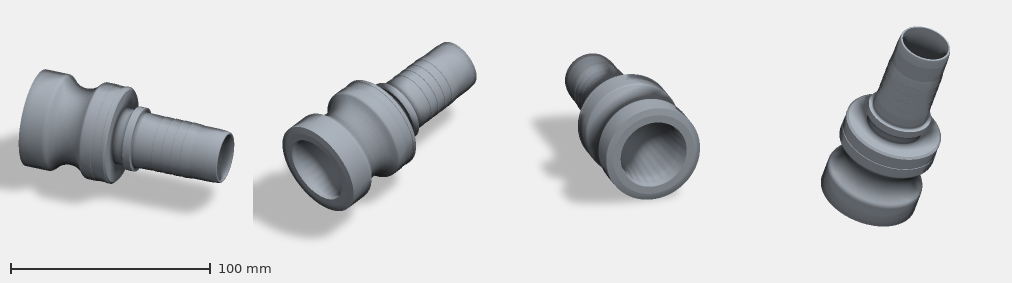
import cadquery as cq
import math

LENGTH = 102.0

HEAD_R = 49.5 / 2
FACE_R = 42.6 / 2
FACE_DEPTH = 0.8
GROOVE_X = 23.6
GROOVE_FLOOR_R = 19.6
GROOVE_ARC_R = 11.2
FRONT_LIP_R = 2.9
REAR_LIP_R = 1.8
BAND_R = 49.0 / 2
BAND_START = 39.1
BAND_END = 44.3
HEAD_END = 46.8
HEAD_CHAMFER = 1.0

NECK_R = 28.5 / 2
NECK_FILLET = 0.4
COLLAR_R = 32.5 / 2
COLLAR_START = 52.9
COLLAR_END = 56.8
COLLAR_FILLET = 0.6

BARB_R = 28.0 / 2
BARB_ROOT_R = 13.8
BARB_START = 62.9
BARB_PITCH = 5.0
BARB_COUNT = 4
TAIL_R = 27.0 / 2
TAIL_START = 88.0
TIP_START = 96.8
TIP_R = 13.0
TIP_ROUND = 0.5

MOUTH_R = 34.8 / 2
BORE_R = 24.0 / 2
CONE_DEPTH = HEAD_END


def falling_mid(start, end):
    """Middle of a convex arc that is parallel to the axis at start."""
    run = end[0] - start[0]
    drop = start[1] - end[1]
    radius = (run**2 + drop**2) / (2 * drop)
    half_angle = math.asin(run / radius) / 2
    return (
        start[0] + radius * math.sin(half_angle),
        start[1] - radius * (1 - math.cos(half_angle)),
    )


def add_falling_arc(profile, start, end):
    """Add the convex arc from start down to end."""
    return profile.threePointArc(falling_mid(start, end), end)


def fillet_mid(center, radius, x_side):
    """Middle of a concave quarter fillet facing the axis."""
    offset = radius * math.sqrt(0.5)
    return (center[0] + x_side * offset, center[1] - offset)


def add_fillet_down(profile, wall_x, floor_r, radius):
    """Round from the foot of a wall onto the cylinder that follows it."""
    center = (wall_x + radius, floor_r + radius)
    return profile.threePointArc(fillet_mid(center, radius, -1), (center[0], floor_r))


def add_fillet_up(profile, wall_x, floor_r, radius):
    """Round from the end of a cylinder up onto the wall that follows it."""
    center = (wall_x - radius, floor_r + radius)
    return profile.threePointArc(fillet_mid(center, radius, 1), (wall_x, center[1]))


def lip_points(lip_r, side):
    """Start, middle and end of a groove lip; side is -1 for front, 1 for rear."""
    arc_center_r = GROOVE_FLOOR_R + GROOVE_ARC_R
    center_drop = arc_center_r - (HEAD_R - lip_r)
    center_dist = GROOVE_ARC_R + lip_r
    center_run = math.sqrt(center_dist**2 - center_drop**2)
    lip_x = GROOVE_X + side * center_run
    angle = math.asin(center_run / center_dist)
    start = (lip_x, HEAD_R)

    def on_lip(turn):
        return (lip_x - side * lip_r * math.sin(turn), HEAD_R - lip_r * (1 - math.cos(turn)))

    return start, on_lip(angle / 2), on_lip(angle)


def add_groove(profile):
    """Add the cam groove with its two rounded lips."""
    front_start, front_mid, front_end = lip_points(FRONT_LIP_R, -1)
    rear_start, rear_mid, rear_end = lip_points(REAR_LIP_R, 1)
    profile = profile.lineTo(*front_start).threePointArc(front_mid, front_end)
    profile = profile.threePointArc((GROOVE_X, GROOVE_FLOOR_R), rear_end)
    return profile.threePointArc(rear_mid, rear_start)


def add_head(profile):
    profile = profile.lineTo(0, FACE_R).lineTo(FACE_DEPTH, HEAD_R)
    profile = add_groove(profile)
    step = HEAD_R - BAND_R
    profile = profile.lineTo(BAND_START, HEAD_R)
    profile = add_fillet_down(profile, BAND_START, BAND_R, step)
    profile = profile.lineTo(BAND_END - step, BAND_R)
    profile = add_fillet_up(profile, BAND_END, BAND_R, step)
    profile = profile.lineTo(HEAD_END - HEAD_CHAMFER, HEAD_R)
    return profile.lineTo(HEAD_END, HEAD_R - HEAD_CHAMFER)


def add_neck_and_collar(profile):
    profile = profile.lineTo(HEAD_END, NECK_R + NECK_FILLET)
    profile = add_fillet_down(profile, HEAD_END, NECK_R, NECK_FILLET)
    profile = profile.lineTo(COLLAR_START - COLLAR_FILLET, NECK_R)
    profile = add_fillet_up(profile, COLLAR_START, NECK_R, COLLAR_FILLET)
    profile = profile.lineTo(COLLAR_START, COLLAR_R).lineTo(COLLAR_END, COLLAR_R)
    profile = profile.lineTo(COLLAR_END, BARB_R + COLLAR_FILLET)
    return add_fillet_down(profile, COLLAR_END, BARB_R, COLLAR_FILLET)


def add_tail(profile):
    step = BARB_R - BARB_ROOT_R
    profile = profile.lineTo(BARB_START, BARB_R)
    crest_x = BARB_START
    for _ in range(BARB_COUNT):
        next_crest_x = crest_x + BARB_PITCH
        profile = add_falling_arc(profile, (crest_x, BARB_R), (next_crest_x - step, BARB_ROOT_R))
        profile = add_fillet_up(profile, next_crest_x, BARB_ROOT_R, step)
        crest_x = next_crest_x
    profile = add_falling_arc(profile, (crest_x, BARB_R), (TAIL_START, TAIL_R))
    profile = profile.lineTo(TIP_START, TAIL_R)
    round_start = (LENGTH - TIP_ROUND, TIP_R)
    profile = add_falling_arc(profile, (TIP_START, TAIL_R), round_start)
    return add_falling_arc(profile, round_start, (LENGTH, TIP_R - TIP_ROUND))


half_section = cq.Workplane("XY").moveTo(0, MOUTH_R)
half_section = add_head(half_section)
half_section = add_neck_and_collar(half_section)
half_section = add_tail(half_section)
half_section = half_section.lineTo(LENGTH, BORE_R).lineTo(CONE_DEPTH, BORE_R).close()

result = half_section.revolve(360, (0, 0, 0), (1, 0, 0))